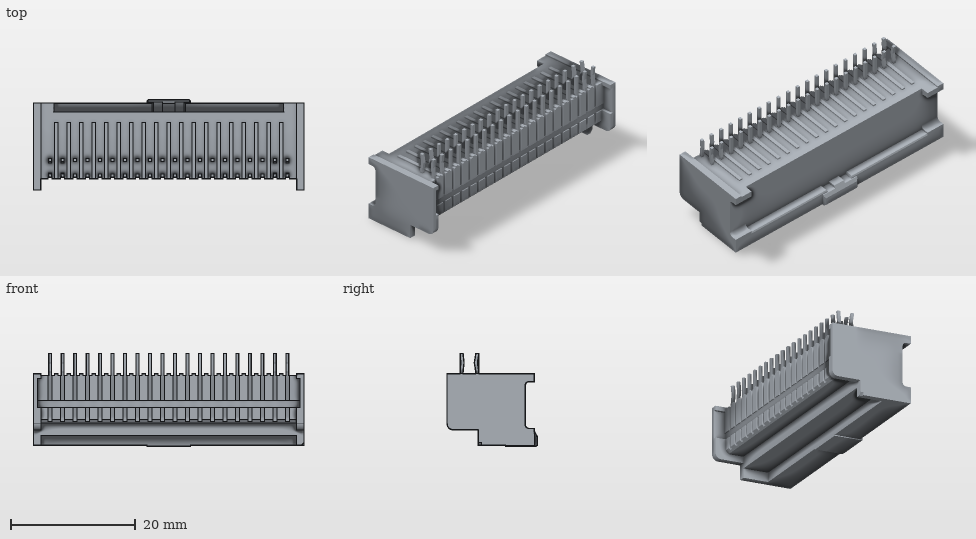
import cadquery as cq

LENGTH = 43.4
DEPTH = 14.0
PLATE_TOP = 11.5
PLATE_WIDTH = 1.2
INNER_LENGTH = LENGTH - 2 * PLATE_WIDTH

FOOT_FRONT = 5.0
FOOT_HEIGHT = 2.5
PLATE_NOSE_RADIUS = 1.0
BACK_NOTCH_Y = 12.55
NOTCH_BOTTOM = 2.75
NOTCH_TOP = 10.2
NOTCH_RADIUS = 0.6
END_FLANGE_X = 18.4
FOOT_CORNER_CUT = 0.5

BODY_TOP = 11.25
BODY_FRONT = 1.8
OVERHANG_BOTTOM = 3.6
OVERHANG_CHAMFER = 0.55
LIP_TOP = 2.45
LIP_EDGE_Y = 13.87
LIP_CHAMFER_DROP = 0.25
MOUTH_HEIGHT = 1.6
MOUTH_BACK = 9.4

PIN_COUNT = 20
PITCH = 2.0
PIN_SIZE = 0.5
PIN_TOP = 14.75
FRONT_ROW_Y = 2.35
ROW_SPACING = 2.5
REAR_ROW_Y = FRONT_ROW_Y + ROW_SPACING
PIN_EMBED = 1.0
KINKED_PINS_PER_END = 2
FRONT_KINK = 0.15
REAR_KINK = -0.25
KINK_BOTTOM = 11.75

SLOT_WIDTH = 0.6
SLOT_FLOOR_Y = FRONT_ROW_Y - PIN_SIZE / 2
GROOVE_BOTTOM = 6.05
GROOVE_TOP = 7.2
GROOVE_FLOOR_Y = 2.0
GROOVE_LENGTH = 42.0
POCKET_TOP = 10.75

RIB_WIDTH = 0.6
RIB_BACK = 10.85

KEY_WIDTH = 7.0
KEY_BACK = 14.5
KEY_BACK_WIDTH = 6.5
KEY_EDGE_Y = 14.25
KEY_BOTTOM = -0.15
KEY_FRONT = MOUTH_BACK
KEY_TOP = 2.0
KEY_BACK_TOP = 1.4
KEY_RIB_WIDTH = 2.0
KEY_POCKET_OUTER = 2.65
KEY_POCKET_DRAFT = 0.2


def block(x0, x1, y0, y1, z0, z1):
    """Axis-aligned box between two corners."""
    size = (x1 - x0, y1 - y0, z1 - z0)
    return cq.Workplane("XY").box(*size, centered=False).translate((x0, y0, z0))


def side_prism(points, x0, x1):
    """Extrude a (y, z) outline from x0 to x1."""
    return cq.Workplane("YZ").polyline(points).close().extrude(x1 - x0).translate((x0, 0, 0))


def across(width):
    """Limits of a span of the given width centred on x = 0."""
    return -width / 2, width / 2


def plate_section(x0, x1):
    """C-shaped end plate with a front foot step and a rounded nose."""
    outline = [
        (0, PLATE_TOP),
        (DEPTH, PLATE_TOP),
        (DEPTH, NOTCH_TOP),
        (BACK_NOTCH_Y, NOTCH_TOP),
        (BACK_NOTCH_Y, NOTCH_BOTTOM),
        (DEPTH, NOTCH_BOTTOM),
        (DEPTH, 0),
        (FOOT_FRONT, 0),
        (FOOT_FRONT, FOOT_HEIGHT),
        (0, FOOT_HEIGHT),
    ]
    middle = (x0 + x1) / 2
    plate = side_prism(outline, x0, x1)
    for z in (NOTCH_BOTTOM, NOTCH_TOP):
        corner = cq.selectors.NearestToPointSelector((middle, BACK_NOTCH_Y, z))
        plate = plate.edges(corner).fillet(NOTCH_RADIUS)
    nose = cq.selectors.NearestToPointSelector((middle, 0, FOOT_HEIGHT))
    return plate.edges(nose).fillet(PLATE_NOSE_RADIUS)


def end_plates():
    """Both end plates, with shallow pockets in their inner front faces."""
    outer = LENGTH / 2
    inner = outer - PLATE_WIDTH
    left = plate_section(-outer, -inner)
    right = plate_section(inner, outer)
    pockets = block(*across(GROOVE_LENGTH), 0, BODY_FRONT, GROOVE_BOTTOM, POCKET_TOP)
    return left.union(right).cut(pockets)


def back_flanges():
    """Back parts of the plate profile continued inward at each end of the body."""
    inner = INNER_LENGTH / 2
    left = plate_section(-inner, -END_FLANGE_X)
    right = plate_section(END_FLANGE_X, inner)
    keep = block(*across(INNER_LENGTH), MOUTH_BACK, DEPTH, 0, BODY_TOP)
    return left.union(right).intersect(keep)


def body():
    """Main body between the plates: front overhang, mouth and back lip."""
    outline = [
        (BODY_FRONT, BODY_TOP),
        (BACK_NOTCH_Y, BODY_TOP),
        (BACK_NOTCH_Y, LIP_TOP),
        (LIP_EDGE_Y, LIP_TOP),
        (DEPTH, LIP_TOP - LIP_CHAMFER_DROP),
        (DEPTH, 0),
        (MOUTH_BACK, 0),
        (MOUTH_BACK, MOUTH_HEIGHT),
        (FOOT_FRONT, MOUTH_HEIGHT),
        (FOOT_FRONT, OVERHANG_BOTTOM),
        (BODY_FRONT + OVERHANG_CHAMFER, OVERHANG_BOTTOM),
        (BODY_FRONT, OVERHANG_BOTTOM + OVERHANG_CHAMFER),
    ]
    return side_prism(outline, *across(INNER_LENGTH))


def key_slope_y(z):
    """Y of the key's sloped back face at height z; it starts at the lip's top edge."""
    slope = (KEY_BACK - LIP_EDGE_Y) / (LIP_TOP - KEY_BACK_TOP)
    return LIP_EDGE_Y + slope * (LIP_TOP - z)


def polarising_key():
    """Sloped key on the back of the lip, with a thin pad running under the body."""
    profile = [
        (KEY_FRONT, KEY_BOTTOM),
        (KEY_EDGE_Y, KEY_BOTTOM),
        (KEY_BACK, 0),
        (KEY_BACK, KEY_BACK_TOP),
        (key_slope_y(KEY_TOP), KEY_TOP),
        (KEY_FRONT, KEY_TOP),
    ]
    plan = [
        (-KEY_WIDTH / 2, KEY_FRONT),
        (KEY_WIDTH / 2, KEY_FRONT),
        (KEY_WIDTH / 2, KEY_EDGE_Y),
        (KEY_BACK_WIDTH / 2, KEY_BACK),
        (-KEY_BACK_WIDTH / 2, KEY_BACK),
        (-KEY_WIDTH / 2, KEY_EDGE_Y),
    ]
    plan_prism = cq.Workplane("XY").polyline(plan).close().extrude(PLATE_TOP)
    plan_prism = plan_prism.translate((0, 0, KEY_BOTTOM))
    return side_prism(profile, *across(KEY_WIDTH)).intersect(plan_prism)


def key_rib():
    """Centre rib carrying the key's slope up to the top of the lip."""
    profile = [
        (BACK_NOTCH_Y, KEY_BACK_TOP),
        (KEY_BACK, KEY_BACK_TOP),
        (LIP_EDGE_Y, LIP_TOP),
        (BACK_NOTCH_Y, LIP_TOP),
    ]
    return side_prism(profile, *across(KEY_RIB_WIDTH))


def key_pocket(side):
    """Pocket in the lip beside the key's centre rib; side is -1 or +1."""
    outline = [
        (side * KEY_RIB_WIDTH / 2, KEY_TOP),
        (side * (KEY_POCKET_OUTER - KEY_POCKET_DRAFT), KEY_TOP),
        (side * KEY_POCKET_OUTER, LIP_TOP),
        (side * KEY_RIB_WIDTH / 2, LIP_TOP),
    ]
    pocket = cq.Workplane("XZ").polyline(outline).close().extrude(BACK_NOTCH_Y - DEPTH)
    return pocket.translate((0, BACK_NOTCH_Y, 0))


def front_slot(x, z0, z1):
    """Stretch of the vertical slot in the body front before the pin at x."""
    return block(x - SLOT_WIDTH / 2, x + SLOT_WIDTH / 2, 0, SLOT_FLOOR_Y, z0, z1)


def top_rib(x):
    """Low rib on top of the body, centred on x."""
    return block(x - RIB_WIDTH / 2, x + RIB_WIDTH / 2, BODY_FRONT, RIB_BACK, BODY_TOP, PLATE_TOP)


def pin(x, y, kink):
    """Square pin, shifted by kink in Y at half height of its free length."""
    kink_z = (KINK_BOTTOM + PIN_TOP) / 2
    base = BODY_TOP - PIN_EMBED
    front = y - PIN_SIZE / 2
    back = y + PIN_SIZE / 2
    if kink == 0:
        outline = [(front, base), (back, base), (back, PIN_TOP), (front, PIN_TOP)]
    else:
        outline = [
            (front, base),
            (back, base),
            (back, KINK_BOTTOM),
            (back + kink, kink_z),
            (back, PIN_TOP),
            (front, PIN_TOP),
            (front + kink, kink_z),
            (front, KINK_BOTTOM),
        ]
    return side_prism(outline, x - PIN_SIZE / 2, x + PIN_SIZE / 2)


pin_xs = [(i - (PIN_COUNT - 1) / 2) * PITCH for i in range(PIN_COUNT)]

housing = body().union(back_flanges()).union(polarising_key())
for side in (-1, 1):
    housing = housing.cut(key_pocket(side))
housing = housing.union(key_rib())

housing = housing.union(end_plates())
housing = housing.cut(
    block(*across(GROOVE_LENGTH), 0, GROOVE_FLOOR_Y, GROOVE_BOTTOM, GROOVE_TOP)
)

for x in pin_xs:
    housing = housing.cut(front_slot(x, OVERHANG_BOTTOM, GROOVE_BOTTOM))
    housing = housing.cut(front_slot(x, GROOVE_TOP, PLATE_TOP))

corner_mark = (
    cq.Workplane("XZ")
    .polyline([(0, 0), (-FOOT_CORNER_CUT, 0), (0, FOOT_CORNER_CUT)])
    .close()
    .extrude(-FOOT_CORNER_CUT)
    .translate((LENGTH / 2, FOOT_FRONT, 0))
)
housing = housing.cut(corner_mark)

additions = [top_rib(x + PITCH / 2) for x in pin_xs[:-1]]
for i, x in enumerate(pin_xs):
    kinked = min(i, PIN_COUNT - 1 - i) < KINKED_PINS_PER_END
    additions.append(pin(x, FRONT_ROW_Y, FRONT_KINK if kinked else 0))
    additions.append(pin(x, REAR_ROW_Y, REAR_KINK if kinked else 0))

solids = [piece.val() for piece in additions]
fused = housing.val().fuse(*solids).clean()
result = cq.Workplane("XY").newObject(fused.Solids())